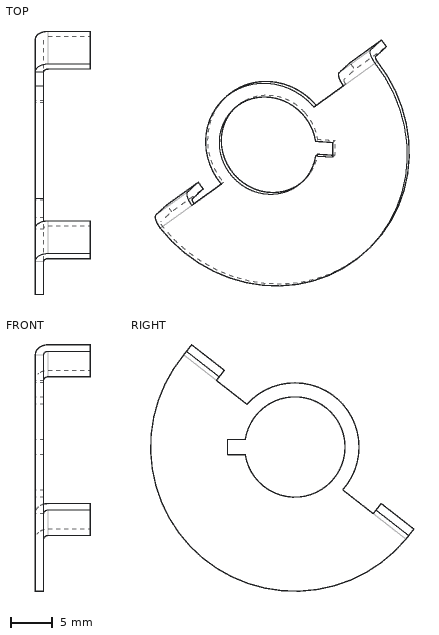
import cadquery as cq
import math

thickness = 1.0
sector_radius = 17.3
ring_radius = 7.7
bore_radius = 6.0
edge_offset = 0.5
edge_tilt = 38.0
tab_inner = 12.3
part_depth = 6.6
bend_radius = 1.55
slot_width = 1.8
slot_reach = 8.05

tab_outer = math.sqrt(sector_radius**2 - edge_offset**2)


def make_plate():
    """Stepped half disc joined to a full ring, with straight edges along Y."""
    disc = cq.Workplane("YZ").circle(sector_radius).extrude(thickness)
    lower_area = (
        cq.Workplane("YZ")
        .moveTo(-sector_radius, edge_offset)
        .lineTo(0, edge_offset)
        .lineTo(0, -edge_offset)
        .lineTo(sector_radius, -edge_offset)
        .lineTo(sector_radius, -sector_radius)
        .lineTo(-sector_radius, -sector_radius)
        .close()
        .extrude(thickness)
    )
    ring = cq.Workplane("YZ").circle(ring_radius).extrude(thickness)
    return disc.intersect(lower_area).union(ring)


def make_tab(start_y, edge_z):
    """Tab bent toward +X, rising from a straight edge at height edge_z."""
    inner_radius = bend_radius - thickness
    diagonal = math.sqrt(0.5)
    outer_mid = (bend_radius * (1 - diagonal), edge_z + bend_radius * diagonal)
    inner_mid = (bend_radius - inner_radius * diagonal, edge_z + inner_radius * diagonal)
    return (
        cq.Workplane("XZ", origin=(0, start_y, 0))
        .moveTo(0, edge_z)
        .threePointArc(outer_mid, (bend_radius, edge_z + bend_radius))
        .lineTo(part_depth, edge_z + bend_radius)
        .lineTo(part_depth, edge_z + inner_radius)
        .lineTo(bend_radius, edge_z + inner_radius)
        .threePointArc(inner_mid, (thickness, edge_z))
        .close()
        .extrude(tab_inner - tab_outer)
    )


def make_bore():
    """Central hole with its rectangular slot toward -Y."""
    hole = cq.Workplane("YZ").circle(bore_radius).extrude(thickness)
    slot = (
        cq.Workplane("YZ")
        .center(-slot_reach / 2, 0)
        .rect(slot_reach, slot_width)
        .extrude(thickness)
    )
    return hole.union(slot)


blank = make_plate()
for start_y, edge_z in ((tab_inner, -edge_offset), (-tab_outer, edge_offset)):
    blank = blank.union(make_tab(start_y, edge_z))
tilted = blank.rotate((0, 0, 0), (1, 0, 0), -edge_tilt)

result = tilted.cut(make_bore())